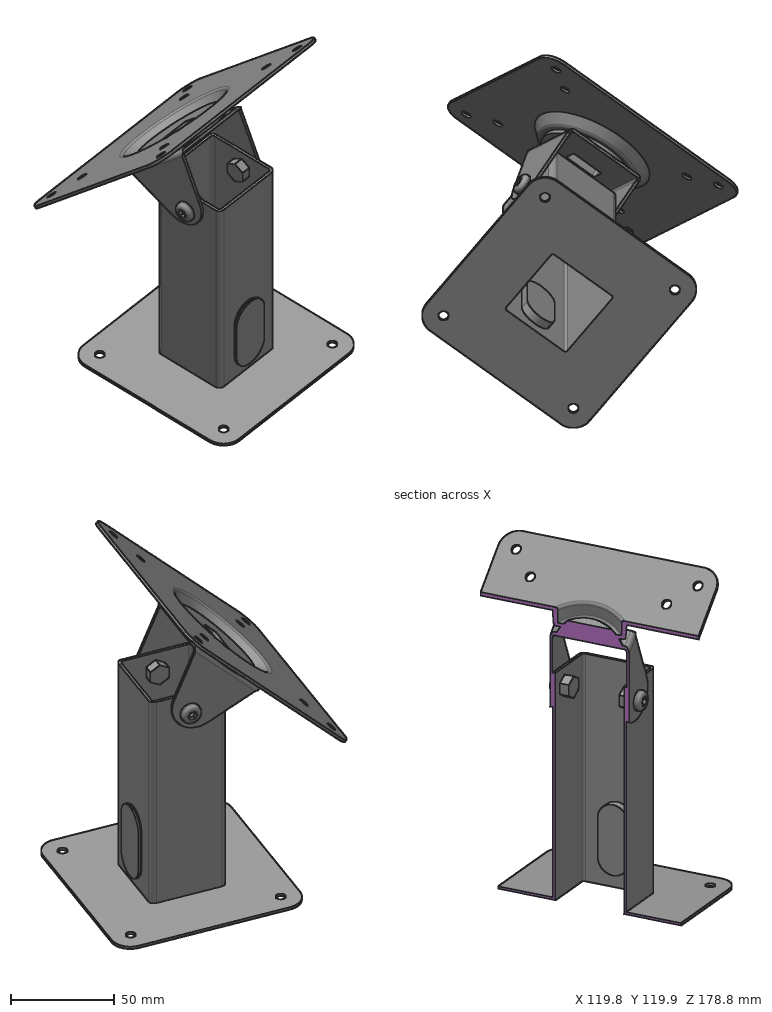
import cadquery as cq
import math

SHEET = 1.5

BASE_SIDE = 100.6
BASE_CORNER_RADIUS = 10.0
BASE_HOLE_SPACING = 80.0
BASE_HOLE_DIAMETER = 4.9

COLUMN_SIDE = 40.64
COLUMN_TOP = 119.3
COLUMN_OUTER_RADIUS = 2.8
COLUMN_INNER_RADIUS = COLUMN_OUTER_RADIUS - SHEET
COLUMN_BORE = COLUMN_SIDE - 2 * SHEET

PLUG_CENTER_Z = 26.6
PLUG_LENGTH = 40.64
PLUG_WIDTH = 20.32
PLUG_COLLAR_INSET = 0.5
PLUG_COLLAR_THICKNESS = 0.7
PLUG_CAP_THICKNESS = 1.3
PLUG_BODY_INSET = 1.8
PLUG_BODY_DEPTH = 6.0

TILT_ANGLE = 45.0
PIVOT_Z = 109.31
MOUNT_SIDE = 119.89
MOUNT_CORNER_RADIUS = 10.0
MOUNT_FACE = 38.275
MOUNT_HOLE_SPACINGS = (75.0, 100.0)
MOUNT_HOLE_DIAMETER = 4.9

DISH_DEPTH = 5.6
DISH_FLOOR_RADIUS = 25.9
DISH_WALL_ANGLE = 52.0
DISH_WALL_SLOPE = math.tan(math.radians(DISH_WALL_ANGLE))
DISH_BACK_RADIUS = DISH_FLOOR_RADIUS + SHEET * math.tan(math.radians(DISH_WALL_ANGLE / 2))
DISH_INNER_BEND = 0.8
DISH_OUTER_BEND = DISH_INNER_BEND + SHEET

DISC_DIAMETER = 48.01
DISC_THICKNESS = SHEET
DISH_FLOOR = MOUNT_FACE - DISH_DEPTH
DISH_BACK = DISH_FLOOR - SHEET

BRACKET_TOP = 29.05
BRACKET_WIDTH = COLUMN_SIDE + 2 * SHEET
BRACKET_HALF_LENGTH = 23.9
EAR_HALF_LENGTH = 22.6
BRACKET_BEND_RADIUS = 2.5
EAR_TIP_RADIUS = 13.5
EAR_TIP_CENTER = 5.6

SLOT_LENGTH = 17.2
SLOT_WIDTH = 8.4
SLOT_CORNER_RADIUS = 1.2

BOLT_DIAMETER = 6.0
BOLT_HEAD_DIAMETER = 10.5
BOLT_HEAD_HEIGHT = 3.3
BOLT_HEAD_ROUND = 2.2
HEX_ACROSS_CORNERS = 4.62
HEX_DEPTH = 2.0
HEX_TIP_DIAMETER = 4.0
HEX_TIP_DEPTH = 1.0
HEX_TIP_TAPER = 60.0
HEX_HALF_ANGLE = 30.0
NUT_ACROSS_FLATS = 10.0
NUT_ACROSS_CORNERS = NUT_ACROSS_FLATS / math.cos(math.radians(HEX_HALF_ANGLE))
NUT_THICKNESS = 5.0


def rounded_plate(side, radius, bottom):
    """Square sheet with rounded corners, its lower face at the given height."""
    plate = cq.Workplane("XY").workplane(offset=bottom).rect(side, side).extrude(SHEET)
    return plate.edges("|Z").fillet(radius)


def square_hole_pattern(spacing, diameter, bottom):
    """Four round cutters at the corners of a square."""
    return (
        cq.Workplane("XY")
        .workplane(offset=bottom)
        .rect(spacing, spacing, forConstruction=True)
        .vertices()
        .circle(diameter / 2)
        .extrude(SHEET)
    )


def make_base():
    base = rounded_plate(BASE_SIDE, BASE_CORNER_RADIUS, 0)
    return base.cut(square_hole_pattern(BASE_HOLE_SPACING, BASE_HOLE_DIAMETER, 0))


def make_column():
    column = cq.Workplane("XY").rect(COLUMN_SIDE, COLUMN_SIDE).extrude(COLUMN_TOP)
    return column.edges("|Z").fillet(COLUMN_OUTER_RADIUS)


def make_column_bore():
    """Inside of the tube, open at the top and through the base plate."""
    bore = cq.Workplane("XY").rect(COLUMN_BORE, COLUMN_BORE).extrude(COLUMN_TOP)
    return bore.edges("|Z").fillet(COLUMN_INNER_RADIUS)


def plug_layer(start_x, thickness, inset):
    """Upright obround layer of the plug, inset from its full outline."""
    return (
        cq.Workplane("YZ", origin=(start_x, 0, PLUG_CENTER_Z))
        .slot2D(PLUG_LENGTH - 2 * inset, PLUG_WIDTH - 2 * inset, 90)
        .extrude(thickness)
    )


def make_plug():
    wall_face = COLUMN_SIDE / 2
    body = plug_layer(wall_face - PLUG_BODY_DEPTH, PLUG_BODY_DEPTH, PLUG_BODY_INSET)
    collar = plug_layer(wall_face, PLUG_COLLAR_THICKNESS, PLUG_COLLAR_INSET)
    cap = plug_layer(wall_face + PLUG_COLLAR_THICKNESS, PLUG_CAP_THICKNESS, 0)
    return body.union(collar).union(cap)


def dish_cone(floor_radius, floor_height, top_height, bend):
    """Solid cone frustum opening towards the mounting plate, its floor edge rounded."""
    top_radius = floor_radius + (top_height - floor_height) / DISH_WALL_SLOPE
    profile = [
        (0, floor_height),
        (floor_radius, floor_height),
        (top_radius, top_height),
        (0, top_height),
    ]
    cone = cq.Workplane("XZ").polyline(profile).close().revolve(360, (0, 0), (0, 1))
    return cone.faces("<Z").edges().fillet(bend)


def make_mounting_plate():
    bottom = MOUNT_FACE - SHEET
    plate = rounded_plate(MOUNT_SIDE, MOUNT_CORNER_RADIUS, bottom)
    dish = dish_cone(DISH_BACK_RADIUS, DISH_BACK, bottom, DISH_OUTER_BEND)
    cavity = dish_cone(DISH_FLOOR_RADIUS, DISH_FLOOR, MOUNT_FACE, DISH_INNER_BEND)
    plate = plate.union(dish).cut(cavity)
    rim = cq.selectors.RadiusNthSelector(-1)
    plate = plate.faces(">Z").edges(rim).fillet(DISH_OUTER_BEND)
    for spacing in MOUNT_HOLE_SPACINGS:
        plate = plate.cut(square_hole_pattern(spacing, MOUNT_HOLE_DIAMETER, bottom))
    return plate


def make_discs():
    """One disc on the dish floor and one filling the gap between dish and bracket."""
    radius = DISC_DIAMETER / 2
    front = cq.Workplane("XY").workplane(offset=DISH_FLOOR).circle(radius).extrude(DISC_THICKNESS)
    rear = cq.Workplane("XY").workplane(offset=BRACKET_TOP).circle(radius).extrude(DISH_BACK - BRACKET_TOP)
    return front.union(rear)


def make_bracket():
    """U section trimmed to ears that taper onto a rounded tip around the pivot."""
    height = BRACKET_TOP - EAR_TIP_CENTER + EAR_TIP_RADIUS
    middle = BRACKET_TOP - height / 2
    outer = cq.Workplane("XY").box(2 * BRACKET_HALF_LENGTH, BRACKET_WIDTH, height)
    outer = outer.edges("|X and >Z").fillet(BRACKET_BEND_RADIUS)
    inner = cq.Workplane("XY").box(2 * BRACKET_HALF_LENGTH, COLUMN_SIDE, height)
    inner = inner.edges("|X and >Z").fillet(BRACKET_BEND_RADIUS - SHEET)
    section = outer.cut(inner.translate((0, 0, -SHEET))).translate((0, 0, middle))

    shoulder = BRACKET_TOP - SHEET
    ear_top = BRACKET_TOP - BRACKET_BEND_RADIUS
    rise = ear_top - EAR_TIP_CENTER
    reach = math.hypot(EAR_HALF_LENGTH, rise)
    tangent_angle = math.atan2(rise, EAR_HALF_LENGTH) - math.acos(EAR_TIP_RADIUS / reach)
    tangent_x = EAR_TIP_RADIUS * math.cos(tangent_angle)
    tangent_z = EAR_TIP_CENTER + EAR_TIP_RADIUS * math.sin(tangent_angle)
    outline = (
        cq.Workplane("XZ")
        .moveTo(-BRACKET_HALF_LENGTH, BRACKET_TOP)
        .lineTo(BRACKET_HALF_LENGTH, BRACKET_TOP)
        .lineTo(BRACKET_HALF_LENGTH, shoulder)
        .lineTo(EAR_HALF_LENGTH, ear_top)
        .lineTo(tangent_x, tangent_z)
        .threePointArc((0, EAR_TIP_CENTER - EAR_TIP_RADIUS), (-tangent_x, tangent_z))
        .lineTo(-EAR_HALF_LENGTH, ear_top)
        .lineTo(-BRACKET_HALF_LENGTH, shoulder)
        .close()
        .extrude(BRACKET_WIDTH / 2, both=True)
    )
    return section.intersect(outline)


def make_slot():
    slot = cq.Workplane("XY").rect(SLOT_WIDTH, SLOT_LENGTH).extrude(MOUNT_FACE)
    return slot.edges("|Z").fillet(SLOT_CORNER_RADIUS)


def make_head():
    head = make_mounting_plate().union(make_discs()).union(make_bracket()).cut(make_slot())
    return head.rotate((0, 0, 0), (0, 1, 0), -TILT_ANGLE).translate((0, 0, PIVOT_Z))


def pivot_workplane(start_y):
    """Workplane on the pivot axis at the given Y, extruding towards -Y."""
    return cq.Workplane("XZ", origin=(0, start_y, PIVOT_Z))


def make_nut(start_y):
    """Hex nut with one pair of corners on the vertical."""
    nut = pivot_workplane(start_y).transformed(rotate=(0, 0, HEX_HALF_ANGLE))
    return nut.polygon(6, NUT_ACROSS_CORNERS).extrude(NUT_THICKNESS)


def make_bolt_head(ear_face):
    """Button head with a hex socket that ends in a drill point."""
    head = pivot_workplane(-ear_face).circle(BOLT_HEAD_DIAMETER / 2).extrude(BOLT_HEAD_HEIGHT)
    head = head.faces("<Y").edges().fillet(BOLT_HEAD_ROUND)
    bottom = pivot_workplane(HEX_DEPTH - ear_face - BOLT_HEAD_HEIGHT)
    socket = bottom.polygon(6, HEX_ACROSS_CORNERS).extrude(HEX_DEPTH)
    drill_point = bottom.circle(HEX_TIP_DIAMETER / 2).extrude(-HEX_TIP_DEPTH, taper=HEX_TIP_TAPER)
    return head.cut(socket).cut(drill_point)


def make_bolt():
    """Bolt through the -Y ear and column wall, with its nut inside the column."""
    ear_face = BRACKET_WIDTH / 2
    nut_end = COLUMN_BORE / 2 - NUT_THICKNESS
    shank = pivot_workplane(-nut_end).circle(BOLT_DIAMETER / 2).extrude(NUT_THICKNESS + 2 * SHEET)
    return shank.union(make_nut(-nut_end)).union(make_bolt_head(ear_face))


near_bolt = make_bolt()
far_bolt = near_bolt.mirror("XZ")
stand = make_base().union(make_column()).cut(make_column_bore()).union(make_plug())
result = stand.union(make_head()).union(near_bolt).union(far_bolt)